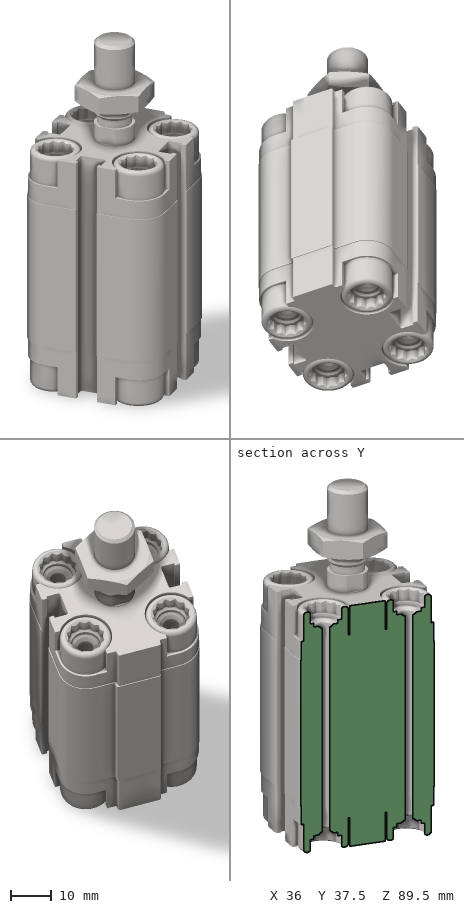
import cadquery as cq
import math


housing_height = 63.0
cap_height = 12.4
barrel_half_width = 18.0
cap_step = 0.2
screw_offset = 11.0

pad_width = 11.5
pad_rise = 1.5
pad_edge_radius = 0.45
cap_pad_setback = 0.45

slot_mouth_width = 5.5
slot_inner_width = 6.8
slot_floor_distance = 13.0
slot_lip_depth = 1.5
slot_lip_radius = 0.4
slot_floor_radius = 0.5
slot_angles = (-90, 0, 90)

pocket_depth = 7.5
pocket_diameter = 13.0
pocket_corner_distance = 7.7
head_diameter = 12.5
head_edge_radius = 1.1
lead_in_diameter = 10.0
lead_in_depth = 0.6
lead_in_end_diameter = 8.1
socket_across_flats = 8.1
socket_depth = 3.2
recess_diameter = 7.2
recess_depth = 0.9
screw_bore = 3.9
screw_bore_mouth = 5.5

rod_top = 89.5
rod_diameter = 10.0
rod_tip_diameter = 8.5
rod_tip_chamfer = 0.7
groove_diameter = 8.5
groove_bottom = 67.5
groove_top = 69.45
thread_start = 70.3
flat_bottom = 63.2
rod_across_flats = 9.0
rod_end = housing_height - cap_height

nut_bottom = 73.0
nut_thickness = 5.0
nut_across_flats = 17.0
nut_face_diameter = 16.8
nut_chamfer_height = 0.45

cap_half_width = barrel_half_width - cap_step
barrel_corner_radius = barrel_half_width - screw_offset
cap_corner_radius = cap_half_width - screw_offset
arc_inset = 1 - math.sqrt(0.5)
hexagon_ratio = 2 / math.sqrt(3)


def pad(half_width, side_setback, bottom, height):
    """Raised pad with rounded outer edges and a fillet where it leaves the +Y side."""
    r = pad_edge_radius
    c = r * arc_inset
    left = -pad_width / 2
    right = pad_width / 2 - side_setback
    y = half_width
    top = half_width + pad_rise
    return (
        cq.Workplane("XY", origin=(0, 0, bottom))
        .moveTo(right + r, 0)
        .lineTo(right + r, y)
        .threePointArc((right + c, y + c), (right, y + r))
        .lineTo(right, top - r)
        .threePointArc((right - c, top - c), (right - r, top))
        .lineTo(left + r, top)
        .threePointArc((left + c, top - c), (left, top - r))
        .lineTo(left, y + r)
        .threePointArc((left - c, y + c), (left - r, y))
        .lineTo(left - r, 0)
        .close()
        .extrude(height)
    )


def slot_mouth(half_width, bottom, height):
    """Cutter for the mouth of the -Y slot; it flares out around the rounded lips."""
    r = slot_lip_radius
    c = r * arc_inset
    x = slot_mouth_width / 2
    y = -half_width
    return (
        cq.Workplane("XY", origin=(0, 0, bottom))
        .moveTo(-x, -slot_floor_distance)
        .lineTo(-x, y + r)
        .threePointArc((-x - c, y + c), (-x - r, y))
        .lineTo(x + r, y)
        .threePointArc((x + c, y + c), (x, y + r))
        .lineTo(x, -slot_floor_distance)
        .close()
        .extrude(height)
    )


def slot_inside():
    """Cutter for the wide inner part of the -Y slot, over the whole height."""
    depth = barrel_half_width - slot_lip_depth - slot_floor_distance
    return (
        cq.Workplane("XY")
        .center(0, -slot_floor_distance - depth / 2)
        .rect(slot_inner_width, depth)
        .extrude(housing_height)
        .edges("|Z and >Y")
        .fillet(slot_floor_radius)
    )


def at_slots(cutter):
    """The cutter of the -Y slot, repeated on the three slotted sides."""
    copies = [cutter.rotate((0, 0, 0), (0, 0, 1), angle) for angle in slot_angles]
    return copies[0].union(copies[1]).union(copies[2])


def housing_section(half_width, corner_radius, pad_setback, bottom, height):
    """One length of the housing: rounded square with pad and slot mouths."""
    side = 2 * half_width
    block = (
        cq.Workplane("XY", origin=(0, 0, bottom))
        .rect(side, side)
        .extrude(height)
        .edges("|Z")
        .fillet(corner_radius)
    )
    block = block.union(pad(half_width, pad_setback, bottom, height))
    return block.cut(at_slots(slot_mouth(half_width, bottom, height)))


def corner_pocket():
    """Cutter for the top pocket of the (+X, +Y) corner: a round seat, open to the corner."""
    floor = housing_height - pocket_depth
    seat = (
        cq.Workplane("XY", origin=(screw_offset, screw_offset, floor))
        .circle(pocket_diameter / 2)
        .extrude(pocket_depth)
    )
    corner = (
        cq.Workplane("XY", origin=(pocket_corner_distance, pocket_corner_distance, floor))
        .rect(barrel_half_width, barrel_half_width, centered=False)
        .extrude(pocket_depth)
    )
    return seat.union(corner)


def screw_socket():
    """Cutter for the stepped twelve-point socket of the (+X, +Y) top screw."""
    face = cq.Workplane("XY", origin=(screw_offset, screw_offset, housing_height))
    lead_in = (
        face.circle(lead_in_diameter / 2)
        .workplane(offset=-lead_in_depth)
        .circle(lead_in_end_diameter / 2)
        .loft(combine=True)
    )
    hexagon = face.polygon(6, socket_across_flats * hexagon_ratio).extrude(-socket_depth)
    turned = hexagon.rotate((screw_offset, screw_offset, 0), (screw_offset, screw_offset, 1), 30)
    recess_floor = socket_depth + recess_depth
    recess = face.circle(recess_diameter / 2).extrude(-recess_floor)
    bore_chamfer = (screw_bore_mouth - screw_bore) / 2
    bore_mouth = (
        face.workplane(offset=-recess_floor)
        .circle(screw_bore_mouth / 2)
        .workplane(offset=-bore_chamfer)
        .circle(screw_bore / 2)
        .loft(combine=True)
    )
    return lead_in.union(hexagon).union(turned).union(recess).union(bore_mouth)


def screw_head():
    """Rounded screw head in the (+X, +Y) top pocket."""
    return (
        cq.Workplane("XY", origin=(screw_offset, screw_offset, housing_height - pocket_depth))
        .circle(head_diameter / 2)
        .extrude(pocket_depth)
        .faces(">Z")
        .edges()
        .fillet(head_edge_radius)
    )


def make_housing():
    barrel_height = housing_height - 2 * cap_height
    body = housing_section(barrel_half_width, barrel_corner_radius, 0, cap_height, barrel_height)
    for bottom in (0, housing_height - cap_height):
        cap = housing_section(cap_half_width, cap_corner_radius, cap_pad_setback, bottom, cap_height)
        body = body.union(cap)
    body = body.cut(at_slots(slot_inside()))

    corner_shapes = (corner_pocket(), screw_head(), screw_socket())
    middle = (0, 0, housing_height / 2)
    for upside_down in (False, True):
        for angle in (0, 90, 180, 270):
            placed = []
            for shape in corner_shapes:
                if upside_down:
                    shape = shape.mirror("XY", middle)
                placed.append(shape.rotate((0, 0, 0), (0, 0, 1), angle))
            pocket, head, socket = placed
            body = body.cut(pocket).union(head).cut(socket)

    bores = (
        cq.Workplane("XY")
        .rect(2 * screw_offset, 2 * screw_offset, forConstruction=True)
        .vertices()
        .circle(screw_bore / 2)
        .extrude(housing_height)
    )
    guide = cq.Workplane("XY", origin=(0, 0, rod_end)).circle(rod_diameter / 2).extrude(cap_height)
    return body.cut(bores).cut(guide)


def make_rod():
    radius = rod_diameter / 2
    groove_radius = groove_diameter / 2
    rod = (
        cq.Workplane("XZ")
        .moveTo(0, rod_end)
        .lineTo(radius, rod_end)
        .lineTo(radius, groove_bottom)
        .lineTo(groove_radius, groove_bottom)
        .lineTo(groove_radius, groove_top)
        .lineTo(radius, thread_start)
        .lineTo(radius, rod_top - rod_tip_chamfer)
        .lineTo(rod_tip_diameter / 2, rod_top)
        .lineTo(0, rod_top)
        .close()
        .revolve(360, (0, 0, 0), (0, 1, 0))
    )
    flat_height = groove_bottom - flat_bottom
    flats = (
        cq.Workplane("XY", origin=(0, 0, flat_bottom))
        .rect(rod_diameter, 2 * rod_diameter)
        .rect(rod_diameter, rod_across_flats)
        .extrude(flat_height)
    )
    return rod.cut(flats)


def make_nut():
    corner_radius = nut_across_flats * hexagon_ratio / 2
    face_radius = nut_face_diameter / 2
    nut_top = nut_bottom + nut_thickness
    hexagon = (
        cq.Workplane("XY", origin=(0, 0, nut_bottom))
        .polygon(6, 2 * corner_radius)
        .extrude(nut_thickness)
        .rotate((0, 0, 0), (0, 0, 1), 30)
    )
    chamfered = (
        cq.Workplane("XZ")
        .moveTo(rod_diameter / 2, nut_bottom)
        .lineTo(face_radius, nut_bottom)
        .lineTo(corner_radius, nut_bottom + nut_chamfer_height)
        .lineTo(corner_radius, nut_top - nut_chamfer_height)
        .lineTo(face_radius, nut_top)
        .lineTo(rod_diameter / 2, nut_top)
        .close()
        .revolve(360, (0, 0, 0), (0, 1, 0))
    )
    return hexagon.intersect(chamfered)


housing = make_housing()
rod = make_rod()
nut = make_nut()

result = cq.Compound.makeCompound([housing.val(), rod.val(), nut.val()])